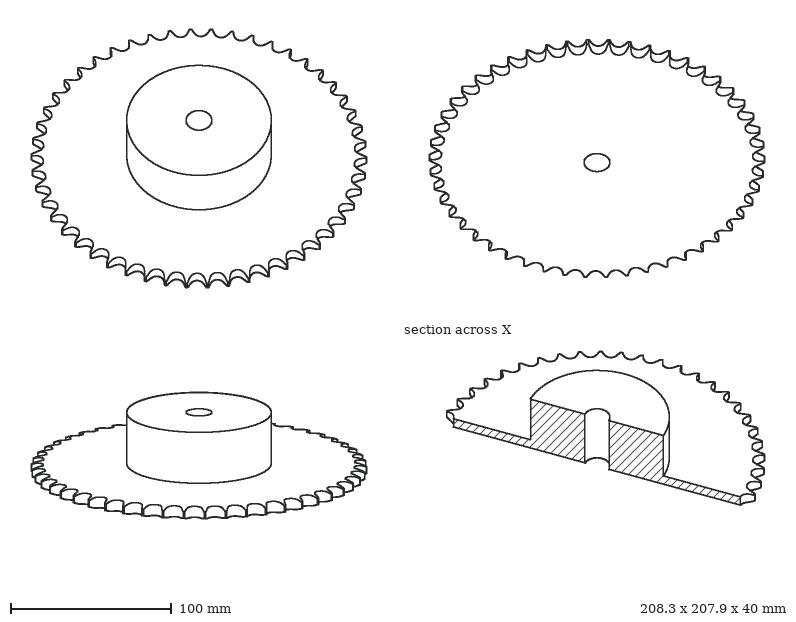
import cadquery as cq
import math


tooth_count = 50
chain_pitch = 12.7
roller_diameter = 8.5
seat_clearance = 0.06
tip_diameter = 208.3
bore_diameter = 16.0
hub_diameter = 90.0
overall_height = 40.0
plate_thickness = 7.0

relief_start_radius = 98.1
relief_arc_radius = 13.0
relief_overrun = 1.0

half_pitch_angle = math.pi / tooth_count
seat_end_angle = math.radians(35 + 60 / tooth_count)
working_sweep = math.radians(18 - 56 / tooth_count)
topping_angle = math.radians(17 - 64 / tooth_count)
flank_angle = seat_end_angle - working_sweep

tip_radius = tip_diameter / 2
pitch_radius = chain_pitch / (2 * math.sin(half_pitch_angle))
seat_radius = roller_diameter / 2 + seat_clearance
working_centre_distance = 0.8 * roller_diameter
topping_centre_distance = 1.4 * roller_diameter
working_radius = seat_radius + working_centre_distance
flank_length = (
    topping_centre_distance * math.sin(topping_angle)
    - working_centre_distance * math.sin(working_sweep)
)
topping_radius = (
    working_centre_distance * math.cos(working_sweep)
    + topping_centre_distance * math.cos(topping_angle)
    - working_radius
)


def offset(point, distance, angle):
    """Point moved along a direction that leans from +Y towards -X by the given angle."""
    return point[0] - distance * math.sin(angle), point[1] + distance * math.cos(angle)


def turned(point, angle):
    """Point rotated about the sprocket axis."""
    x, y = point
    return x * math.cos(angle) - y * math.sin(angle), x * math.sin(angle) + y * math.cos(angle)


def make_relief_envelope():
    """Disc whose rim narrows along two arcs; it reaches past the tooth tips."""

    def relief_depth(radius):
        run = radius - relief_start_radius
        return relief_arc_radius - math.sqrt(relief_arc_radius**2 - run**2)

    rim_radius = tip_radius + relief_overrun
    middle_radius = (relief_start_radius + rim_radius) / 2
    middle_depth = relief_depth(middle_radius)
    rim_depth = relief_depth(rim_radius)
    return (
        cq.Workplane("XZ")
        .lineTo(relief_start_radius, 0)
        .threePointArc((middle_radius, middle_depth), (rim_radius, rim_depth))
        .lineTo(rim_radius, plate_thickness - rim_depth)
        .threePointArc(
            (middle_radius, plate_thickness - middle_depth),
            (relief_start_radius, plate_thickness),
        )
        .lineTo(0, plate_thickness)
        .close()
        .revolve(360, (0, 0, 0), (0, 1, 0))
    )


def tooth_side():
    """Points on the -Y side of the tooth on +X, from the gap root out to the tip circle."""
    root = (pitch_radius - seat_radius, 0)
    seat_middle = offset((pitch_radius, 0), seat_radius, (math.pi / 2 + seat_end_angle) / 2)
    seat_end = offset((pitch_radius, 0), seat_radius, seat_end_angle)

    working_centre = offset(seat_end, -working_radius, seat_end_angle)
    working_middle = offset(working_centre, working_radius, (seat_end_angle + flank_angle) / 2)
    working_end = offset(working_centre, working_radius, flank_angle)

    flank_end = offset(working_end, flank_length, flank_angle - math.pi / 2)
    topping_centre = offset(flank_end, topping_radius, flank_angle)
    centre_to_axis = math.hypot(*topping_centre)
    axis_direction = math.atan2(topping_centre[0], topping_centre[1])
    tip_cosine = (centre_to_axis**2 + topping_radius**2 - tip_radius**2) / (
        2 * centre_to_axis * topping_radius
    )
    tip_angle = math.acos(tip_cosine) - axis_direction
    topping_middle = offset(topping_centre, -topping_radius, (flank_angle + tip_angle) / 2)
    tip = offset(topping_centre, -topping_radius, tip_angle)

    gap_points = (
        root, seat_middle, seat_end, working_middle, working_end, flank_end, topping_middle, tip
    )
    return [turned(point, -half_pitch_angle) for point in gap_points]


def make_tooth_sector():
    """One tooth centred on +X with its wedge of the plate, relieved on both faces."""
    root, seat_middle, seat_end, working_middle, working_end, flank_end, topping_middle, tip = tooth_side()
    tip_middle = turned((tip_radius, 0), math.atan2(tip[1], tip[0]) / 2)
    flat_half = (
        cq.Workplane("XY")
        .lineTo(*root)
        .threePointArc(seat_middle, seat_end)
        .threePointArc(working_middle, working_end)
        .lineTo(*flank_end)
        .threePointArc(topping_middle, tip)
        .threePointArc(tip_middle, (tip_radius, 0))
        .close()
        .extrude(plate_thickness)
    )
    half = flat_half.intersect(make_relief_envelope())
    return half.union(half.mirror("XZ"))


def make_toothed_plate():
    """Full plate, joined from equal sectors around the axis."""
    sector = make_tooth_sector().val()
    sectors = [
        sector.rotate((0, 0, 0), (0, 0, 1), index * 360 / tooth_count)
        for index in range(tooth_count)
    ]
    return cq.Workplane(sectors[0].fuse(*sectors[1:]).clean())


sprocket = make_toothed_plate()
hub = cq.Workplane("XY").circle(hub_diameter / 2).extrude(overall_height)
bore = cq.Workplane("XY").circle(bore_diameter / 2).extrude(overall_height)
result = sprocket.union(hub).cut(bore)